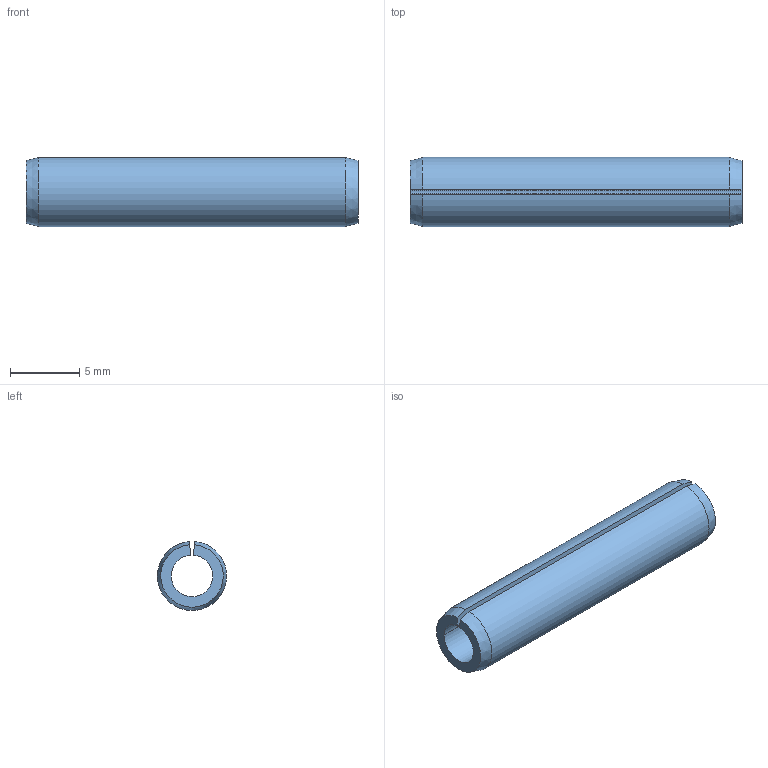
import cadquery as cq
import math


LENGTH = 24.0
OUTER_DIAMETER = 5.0
WALL_THICKNESS = 1.0
TAPER_LENGTH = 0.9
TAPER_ANGLE = 15.0
SEAM_ANGLE = 8.5

OUTER_RADIUS = OUTER_DIAMETER / 2
BORE_RADIUS = OUTER_RADIUS - WALL_THICKNESS
END_RADIUS = OUTER_RADIUS - TAPER_LENGTH * math.tan(math.radians(TAPER_ANGLE))
HALF_LENGTH = LENGTH / 2
HALF_BODY = HALF_LENGTH - TAPER_LENGTH


def tapered_tube():
    """Wall section revolved about the X axis: straight bore, tapered outside ends."""
    return (
        cq.Workplane("XY")
        .moveTo(-HALF_LENGTH, BORE_RADIUS)
        .lineTo(-HALF_LENGTH, END_RADIUS)
        .lineTo(-HALF_BODY, OUTER_RADIUS)
        .lineTo(HALF_BODY, OUTER_RADIUS)
        .lineTo(HALF_LENGTH, END_RADIUS)
        .lineTo(HALF_LENGTH, BORE_RADIUS)
        .close()
        .revolve(360, (0, 0, 0), (1, 0, 0))
    )


def seam_wedge():
    """Full-length wedge from the axis upward, so that the seam walls are radial."""
    wedge_height = OUTER_DIAMETER
    half_width = wedge_height * math.tan(math.radians(SEAM_ANGLE / 2))
    return (
        cq.Workplane("YZ")
        .moveTo(0, 0)
        .lineTo(half_width, wedge_height)
        .lineTo(-half_width, wedge_height)
        .close()
        .extrude(HALF_LENGTH, both=True)
    )


result = tapered_tube().cut(seam_wedge())